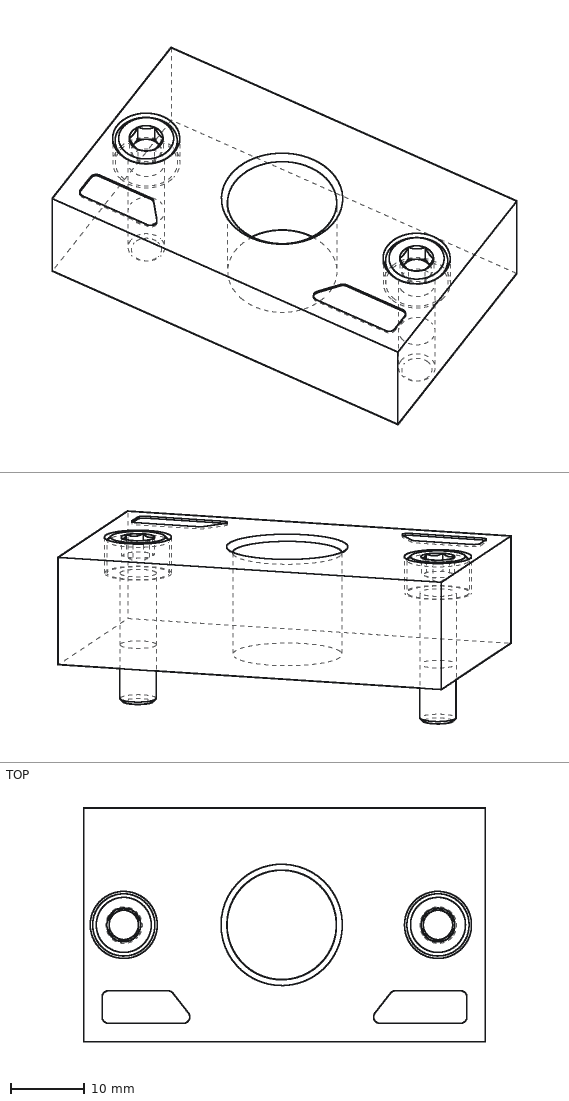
import cadquery as cq
import math

BLOCK_LENGTH = 55.0
BLOCK_WIDTH = 32.0
BLOCK_HEIGHT = 15.0

BORE_X = -0.4
SCREW_PAIR_X = -0.5
BORE_DIAMETER = 14.95
BORE_CHAMFER = 0.8
BORE_MOUTH_ANGLE = 90.0
SCREW_SPACING = 43.0
COUNTERBORE_DIAMETER = 9.2

SHANK_DIAMETER = 5.0
SHANK_PROTRUSION = 8.0
TIP_DIAMETER = 4.1
HEAD_DIAMETER = 8.5
HEAD_HEIGHT = 5.0
HEAD_CHAMFER = 0.5
HEX_SIDES = 6
HEX_ACROSS_FLATS = 4.0
SOCKET_DEPTH = 2.5
SOCKET_CONE_ANGLE = 120.0

POCKET_MARGIN = 2.55
POCKET_WIDTH = 4.45
POCKET_DEPTH = 0.3
POCKET_CORNER_RADIUS = 0.9
POCKET_SLANT_ANGLE = 52.0
LEFT_POCKET_LENGTH = 12.9
RIGHT_POCKET_LENGTH = 13.7

SCREW_XS = [SCREW_PAIR_X - SCREW_SPACING / 2, SCREW_PAIR_X + SCREW_SPACING / 2]
HEX_CORNER_DIAMETER = HEX_ACROSS_FLATS / math.cos(math.pi / HEX_SIDES)
HEAD_SEAT_Z = BLOCK_HEIGHT - HEAD_HEIGHT


def make_label_pocket(length, side):
    """Cutter for one label pocket; side is -1 for the -X end and +1 for the +X end."""
    outer_x = side * (BLOCK_LENGTH / 2 - POCKET_MARGIN)
    long_inner_x = outer_x - side * length
    slant_run = POCKET_WIDTH / math.tan(math.radians(POCKET_SLANT_ANGLE))
    short_inner_x = long_inner_x + side * slant_run
    front_y = -BLOCK_WIDTH / 2 + POCKET_MARGIN
    back_y = front_y + POCKET_WIDTH
    outline = [(outer_x, front_y), (long_inner_x, front_y), (short_inner_x, back_y), (outer_x, back_y)]
    return (
        cq.Workplane("XY")
        .workplane(offset=BLOCK_HEIGHT - POCKET_DEPTH)
        .polyline(outline)
        .close()
        .extrude(POCKET_DEPTH)
        .edges("|Z")
        .fillet(POCKET_CORNER_RADIUS)
    )


def make_block():
    """Rectangular block with a chamfered bore, two counterbored holes and two label pockets."""
    block = cq.Workplane("XY").box(BLOCK_LENGTH, BLOCK_WIDTH, BLOCK_HEIGHT, centered=(True, True, False))
    mouth_diameter = BORE_DIAMETER + 2 * BORE_CHAMFER
    block = (
        block.faces(">Z")
        .workplane(origin=(BORE_X, 0, BLOCK_HEIGHT))
        .cskHole(BORE_DIAMETER, mouth_diameter, BORE_MOUTH_ANGLE)
    )
    block = (
        block.faces(">Z")
        .workplane(origin=(0, 0, BLOCK_HEIGHT))
        .pushPoints([(x, 0) for x in SCREW_XS])
        .cboreHole(SHANK_DIAMETER, COUNTERBORE_DIAMETER, HEAD_HEIGHT)
    )
    block = block.cut(make_label_pocket(LEFT_POCKET_LENGTH, -1))
    return block.cut(make_label_pocket(RIGHT_POCKET_LENGTH, 1))


def make_socket():
    """Cutter for the hex socket: hexagon with corners on Y, conical mouth and conical floor."""
    mouth_radius = HEX_CORNER_DIAMETER / 2
    flat_radius = HEX_ACROSS_FLATS / 2
    floor_z = BLOCK_HEIGHT - SOCKET_DEPTH
    mouth_depth = mouth_radius - flat_radius
    cone_depth = flat_radius / math.tan(math.radians(SOCKET_CONE_ANGLE / 2))
    hexagon = (
        cq.Workplane("XY")
        .workplane(offset=floor_z)
        .transformed(rotate=(0, 0, 90))
        .polygon(HEX_SIDES, HEX_CORNER_DIAMETER)
        .extrude(SOCKET_DEPTH)
    )
    cones = (
        cq.Workplane("XZ")
        .moveTo(0, floor_z - cone_depth)
        .lineTo(flat_radius, floor_z)
        .lineTo(flat_radius, BLOCK_HEIGHT - mouth_depth)
        .lineTo(mouth_radius, BLOCK_HEIGHT)
        .lineTo(0, BLOCK_HEIGHT)
        .close()
        .revolve(360, (0, 0, 0), (0, 1, 0))
    )
    return hexagon.union(cones)


def make_screw(x):
    """Socket head screw whose axis stands at the given X."""
    tip_chamfer = (SHANK_DIAMETER - TIP_DIAMETER) / 2
    shank = (
        cq.Workplane("XY")
        .workplane(offset=-SHANK_PROTRUSION)
        .circle(SHANK_DIAMETER / 2)
        .extrude(SHANK_PROTRUSION + HEAD_SEAT_Z)
        .faces("<Z")
        .chamfer(tip_chamfer)
    )
    head = (
        cq.Workplane("XY")
        .workplane(offset=HEAD_SEAT_Z)
        .circle(HEAD_DIAMETER / 2)
        .extrude(HEAD_HEIGHT)
        .faces(">Z")
        .chamfer(HEAD_CHAMFER)
    )
    return shank.union(head).cut(make_socket()).translate((x, 0, 0))


block = make_block()
screws = [make_screw(x) for x in SCREW_XS]

result = cq.Compound.makeCompound([block.val(), *[screw.val() for screw in screws]])